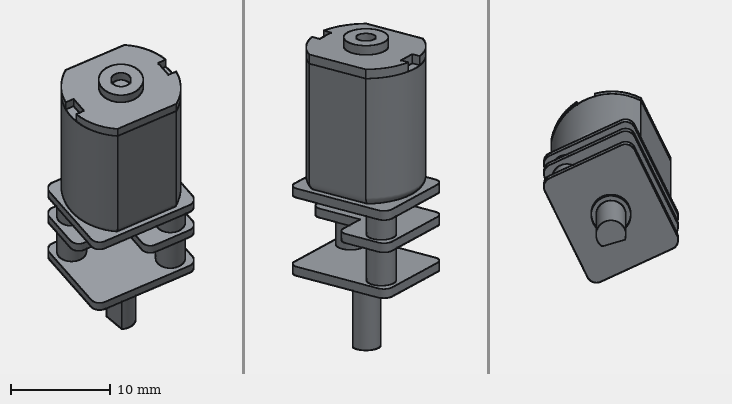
import cadquery as cq

width = 10.0
depth = 12.0
total_height = 33.5

plate_thickness = 1.0
corner_radius = 1.0
lower_gap = 4.0
upper_gap = 2.5
post_diameter = 3.0
post_x = 3.0
post_y = 4.0
step_x = 1.0
step_y = 0.0
collar_diameter = 4.0
collar_height = 0.5

shaft_diameter = 3.0
shaft_length = 7.5
flat_offset = 0.9
flat_angle = 8.5
round_length = 0.1

flat_half_length = 3.5
can_edge_radius = 1.0
cap_thickness = 1.0
notch_width = 2.0
notch_depth = 1.0
boss_diameter = 4.5
boss_height = 1.0
bore_diameter = 2.0

collar_z = shaft_length
bottom_plate_z = collar_z + collar_height
middle_plate_z = bottom_plate_z + plate_thickness + lower_gap
top_plate_z = middle_plate_z + plate_thickness + upper_gap
can_z = top_plate_z + plate_thickness
boss_z = total_height - boss_height
cap_z = boss_z - cap_thickness


def cylinder(diameter, bottom, height, x=0, y=0):
    return cq.Workplane("XY", origin=(x, y, bottom)).circle(diameter / 2).extrude(height)


def full_plate(bottom):
    plate = cq.Workplane("XY", origin=(0, 0, bottom)).rect(width, depth).extrude(plate_thickness)
    return plate.edges("|Z").fillet(corner_radius)


def stepped_plate(bottom):
    """L-shaped plate: its +X, -Y corner is left out."""
    outline = [
        (-width / 2, -depth / 2),
        (step_x, -depth / 2),
        (step_x, step_y),
        (width / 2, step_y),
        (width / 2, depth / 2),
        (-width / 2, depth / 2),
    ]
    plate = cq.Workplane("XY", origin=(0, 0, bottom)).polyline(outline).close().extrude(plate_thickness)
    inner_corner = cq.selectors.NearestToPointSelector((step_x, step_y, bottom + plate_thickness / 2))
    outer_corners = cq.selectors.SubtractSelector(cq.selectors.StringSyntaxSelector("|Z"), inner_corner)
    return plate.edges(outer_corners).fillet(corner_radius)


def make_gearbox_frame():
    """Three plates on two diagonally placed posts, with a collar underneath."""
    frame = full_plate(bottom_plate_z)
    frame = frame.union(full_plate(top_plate_z))
    frame = frame.union(stepped_plate(middle_plate_z))
    for side in (-1, 1):
        post_height = top_plate_z - bottom_plate_z
        frame = frame.union(cylinder(post_diameter, bottom_plate_z, post_height, side * post_x, side * post_y))
    return frame.union(cylinder(collar_diameter, collar_z, collar_height))


def make_shaft():
    """D-shaped shaft with its flat turned slightly away from -Y."""
    shaft = cylinder(shaft_diameter, 0, shaft_length)
    flat_cut = (
        cq.Workplane("XY")
        .center(0, -flat_offset - shaft_diameter / 2)
        .rect(2 * shaft_diameter, shaft_diameter)
        .extrude(shaft_length - round_length)
    )
    return shaft.cut(flat_cut.rotate((0, 0, 0), (0, 0, 1), flat_angle))


def motor_section(bottom, height):
    """Prism with flat X sides and bowed Y sides."""
    return (
        cq.Workplane("XY", origin=(0, 0, bottom))
        .moveTo(-width / 2, -flat_half_length)
        .threePointArc((0, -depth / 2), (width / 2, -flat_half_length))
        .lineTo(width / 2, flat_half_length)
        .threePointArc((0, depth / 2), (-width / 2, flat_half_length))
        .close()
        .extrude(height)
    )


def make_can():
    return motor_section(can_z, cap_z - can_z).faces("<Z").edges().fillet(can_edge_radius)


def make_cap():
    """End cap with two edge notches and a bored boss."""
    cap = motor_section(cap_z, cap_thickness)
    for side in (-1, 1):
        notch = (
            cq.Workplane("XY", origin=(0, side * depth / 2, cap_z))
            .rect(notch_width, 2 * notch_depth)
            .extrude(cap_thickness)
        )
        cap = cap.cut(notch)
    cap = cap.union(cylinder(boss_diameter, boss_z, boss_height))
    return cap.cut(cylinder(bore_diameter, boss_z, boss_height))


gearbox_frame = make_gearbox_frame()
shaft = make_shaft()
can = make_can()
cap = make_cap()

result = cq.Compound.makeCompound([gearbox_frame.val(), shaft.val(), can.val(), cap.val()])